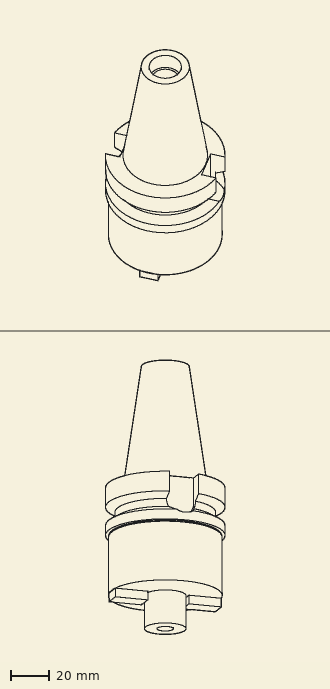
import cadquery as cq

total_height = 143.4
body_bottom = 18.0
body_top = 50.3
flange_bottom = 51.0
gauge_plane = 78.0
flange_top = 77.1

gauge_radius = 22.2
taper_ratio = 7 / 24
shank_tip_radius = gauge_radius - (total_height - gauge_plane) * taper_ratio / 2

flange_diameter = 63.0
flange_radius = flange_diameter / 2
groove_root_radius = 26.5
groove_lower_edge = 56.5
groove_root_bottom = 59.4
groove_root_top = 63.7
groove_upper_edge = 66.4

body_radius = 30.0
relief_radius = 29.5
pilot_diameter = 22.0
pilot_radius = pilot_diameter / 2

slot_width = 16.0
slot_floor_x = 22.5
slot_bottom = 55.2
slot_overcut = 1.5

key_width = 10.0
key_height = 4.7
key_inner_y = 11.5
key_outer_y = 29.5

mouth_radius = 8.5
mouth_depth = 9.0
thread_radius = 7.2
thread_depth = 30.0
lower_bore_radius = 6.0
lower_bore_depth = 40.0
through_radius = 4.3


def make_holder():
    """Revolve the pilot, body, grooved flange and taper as one profile."""
    profile = [
        (0, 0),
        (pilot_radius, 0),
        (pilot_radius, body_bottom),
        (body_radius, body_bottom),
        (body_radius, body_top),
        (relief_radius, body_top),
        (relief_radius, flange_bottom),
        (flange_radius, flange_bottom),
        (flange_radius, groove_lower_edge),
        (groove_root_radius, groove_root_bottom),
        (groove_root_radius, groove_root_top),
        (flange_radius, groove_upper_edge),
        (flange_radius, flange_top),
        (gauge_radius, flange_top),
        (gauge_radius, gauge_plane),
        (shank_tip_radius, total_height),
        (0, total_height),
    ]
    return cq.Workplane("XZ").polyline(profile).close().revolve(360, (0, 0), (0, 1))


def make_bore():
    """Stepped bore running the full height."""
    mouth_bottom = total_height - mouth_depth
    thread_bottom = total_height - thread_depth
    lower_bore_bottom = total_height - lower_bore_depth
    profile = [
        (0, 0),
        (through_radius, 0),
        (through_radius, lower_bore_bottom),
        (lower_bore_radius, lower_bore_bottom),
        (lower_bore_radius, thread_bottom),
        (thread_radius, thread_bottom),
        (thread_radius, mouth_bottom),
        (mouth_radius, mouth_bottom),
        (mouth_radius, total_height),
        (0, total_height),
    ]
    return cq.Workplane("XZ").polyline(profile).close().revolve(360, (0, 0), (0, 1))


def make_drive_slot():
    """Cutter for the +X drive slot: open at the top, rounded at the bottom."""
    half_width = slot_width / 2
    arc_center_z = slot_bottom + half_width
    return (
        cq.Workplane("YZ", origin=(slot_floor_x, 0, 0))
        .moveTo(-half_width, flange_top)
        .lineTo(-half_width, arc_center_z)
        .threePointArc((0, slot_bottom), (half_width, arc_center_z))
        .lineTo(half_width, flange_top)
        .close()
        .extrude(flange_radius - slot_floor_x + slot_overcut)
    )


def make_drive_key():
    """Drive key on the +Y side, hanging below the body."""
    return cq.Workplane("XY").box(
        key_width, key_outer_y - key_inner_y, key_height, centered=(True, False, False)
    ).translate((0, key_inner_y, body_bottom - key_height))


result = make_holder().cut(make_bore())
for angle in (0, 180):
    result = result.cut(make_drive_slot().rotate((0, 0, 0), (0, 0, 1), angle))
    result = result.union(make_drive_key().rotate((0, 0, 0), (0, 0, 1), angle))